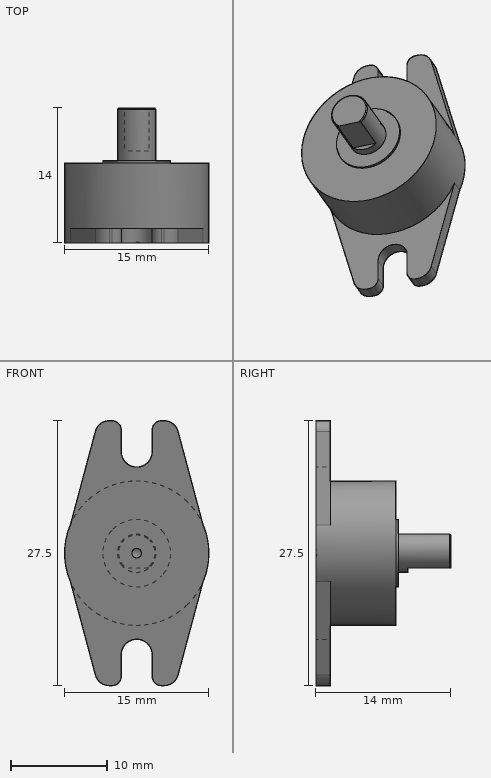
import cadquery as cq
import math

plate_length = 27.5
plate_thickness = 1.5
side_angle = 15.0
side_start_height = 2.95
outer_corner_radius = 1.5
inner_corner_radius = 1.0
slot_width = 3.2
slot_bottom_height = 8.95

housing_diameter = 15.0
housing_depth = 8.3
boss_diameter = 7.0
boss_height = 0.25
dimple_diameter = 1.0
dimple_radius = 1.1

shaft_diameter = 4.0
shaft_tip = 14.0
shaft_chamfer = 0.1
flat_distance = 1.55
flat_start = 9.55

housing_radius = housing_diameter / 2
boss_face = housing_depth + boss_height


def cylinder_along_y(diameter, start, end):
    """Cylinder on the Y axis between two Y positions."""
    plane = cq.Workplane("XZ", origin=(0, start, 0))
    return plane.circle(diameter / 2).extrude(start - end)


def make_plate():
    """Tapered plate with an open slot and rounded corners at each end."""
    half_length = plate_length / 2
    side_start_x = math.sqrt(housing_radius**2 - side_start_height**2)
    side_run = (half_length - side_start_height) * math.tan(math.radians(side_angle))
    end_x = side_start_x - side_run

    plate = (
        cq.Workplane("XZ")
        .moveTo(end_x, half_length)
        .lineTo(side_start_x, side_start_height)
        .lineTo(side_start_x, -side_start_height)
        .lineTo(end_x, -half_length)
        .lineTo(-end_x, -half_length)
        .lineTo(-side_start_x, -side_start_height)
        .lineTo(-side_start_x, side_start_height)
        .lineTo(-end_x, half_length)
        .close()
        .extrude(-plate_thickness)
    )
    plate = plate.edges("|Y").edges(">Z or <Z").fillet(outer_corner_radius)

    slot_center = slot_bottom_height + slot_width / 2
    for side in (1, -1):
        slot_end = cylinder_along_y(slot_width, 0, plate_thickness)
        slot_end = slot_end.translate((0, 0, side * slot_center))
        slot_mouth = (
            cq.Workplane("XY")
            .box(slot_width, plate_thickness, half_length - slot_center)
            .translate((0, plate_thickness / 2, side * (half_length + slot_center) / 2))
        )
        plate = plate.cut(slot_end).cut(slot_mouth)

    corner_edges = plate.edges("|Y").filter(is_slot_mouth_corner)
    return corner_edges.fillet(inner_corner_radius)


def is_slot_mouth_corner(edge):
    """True for an edge where a slot wall meets an end of the plate."""
    center = edge.Center()
    tolerance = 0.003
    at_end = abs(abs(center.z) - plate_length / 2) < tolerance
    at_wall = abs(abs(center.x) - slot_width / 2) < tolerance
    return at_end and at_wall


def make_housing():
    """Mounting plate, round case and raised boss, with a shallow spherical dimple."""
    case = cylinder_along_y(housing_diameter, 0, housing_depth)
    boss = cylinder_along_y(boss_diameter, housing_depth, boss_face)
    housing = make_plate().union(case).union(boss)

    dimple_rim = dimple_diameter / 2
    dimple_offset = math.sqrt(dimple_radius**2 - dimple_rim**2)
    dimple = cq.Workplane("XY").sphere(dimple_radius).translate((0, -dimple_offset, 0))
    return housing.cut(dimple)


def make_shaft():
    """Output shaft standing on the boss, with a flat on its -Z side."""
    shaft = cylinder_along_y(shaft_diameter, boss_face, shaft_tip)
    shaft = shaft.faces(">Y").chamfer(shaft_chamfer)
    flat_length = shaft_tip - flat_start
    flat_cut = (
        cq.Workplane("XY")
        .box(shaft_diameter, flat_length, shaft_diameter)
        .translate((0, flat_start + flat_length / 2, -flat_distance - shaft_diameter / 2))
    )
    return shaft.cut(flat_cut)


housing = make_housing()
shaft = make_shaft()

result = cq.Compound.makeCompound([housing.val(), shaft.val()])